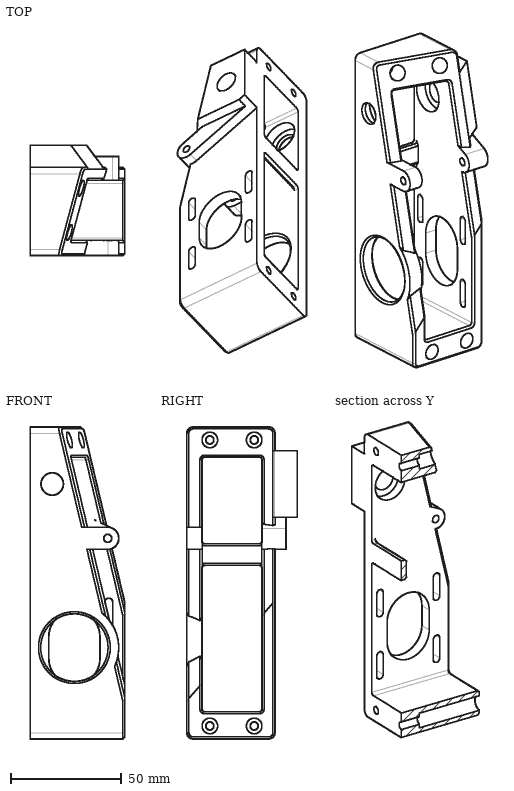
import cadquery as cq
import math

height = 141.3
depth = 40.0
length = 43.0
corner_radius = 3.0
edge_chamfer = 1.0

slope_start = 47.0
slope_rise = math.tan(math.radians(13.3))
slope_skew = math.tan(math.radians(15))

front_wall = 6.9
rear_wall = 6.0
passage_bottom = 12.5
passage_top = 127.6
passage_radius = 1.3
passage_rear = depth - rear_wall
bar_bottom = 78.5
bar_top = 88.5
bar_thickness = 3.0

screw_diameter = 3.5
screw_head_diameter = 7.0
screw_inset_z = 6.0
screw_spacing_y = 20.0
screw_grip = 10.0

motor_x = 20.0
motor_z = 41.4
motor_bore_diameter = 30.5
motor_rim_radius = 20.0
motor_slot_width = 23.0
motor_screw_offset = 15.5
motor_screw_slot_width = 3.5
motor_travel = 10.0

shaft_diameter = 10.0
bearing_diameter = 16.2
bearing_depth = 5.0
shaft_x = 10.0
shaft_z = 115.4
boss_half_height = 15.1
boss_rear = 50.0
boss_front = depth - edge_chamfer
boss_taper = 0.74

ear_x = 35.2
ear_z = 90.8
ear_diameter = 10.0
ear_radius = ear_diameter / 2
ear_hole_diameter = 3.5
rear_ear_end = 44.9
rear_ear_tilt = 25.0

margin = 14.1
overlap = 1.4
steep_normal = 0.8


def box(x0, x1, y0, y1, z0, z1):
    return cq.Workplane("XY").box(x1 - x0, y1 - y0, z1 - z0, centered=False).translate((x0, y0, z0))


def plane_along_y(y):
    """XZ sketch plane at y, with its normal along +Y; local coordinates are (x, -z)."""
    return cq.Workplane(cq.Plane(origin=(0, y, 0), xDir=(1, 0, 0), normal=(0, 1, 0)))


def cylinder_y(x, z, diameter, y0, y1):
    return plane_along_y(y0).center(x, -z).circle(diameter / 2).extrude(y1 - y0)


def cylinder_x(y, z, diameter, x0, x1):
    return cq.Workplane("YZ").workplane(offset=x0).center(y, z).circle(diameter / 2).extrude(x1 - x0)


def slot_y(x, z, width, y0, y1):
    """Vertical slot through Y, long enough for the motor travel."""
    return plane_along_y(y0).center(x, -z).slot2D(width + motor_travel, width, 90).extrude(y1 - y0)


def half_space(x, y, z, skew):
    """Large block behind the sloped plane through (x, y, z) that gains skew in X per unit of Y."""
    face = cq.Plane(origin=(x, y, z), xDir=(skew, 1, 0), normal=(1, -skew, slope_rise))
    return cq.Workplane(face).rect(4 * height, 4 * height).extrude(-2 * height)


def sloping_face_edges(body, y_range, z_range):
    """Edges around the +X and sloped faces, except the line where those two meet."""
    faces = [f for f in body.faces().vals()
             if f.geomType() == "PLANE" and f.normalAt().x > steep_normal]
    found = [e for f in faces for e in f.Edges()]
    return [e for e in found if sum(e.isSame(other) for other in found) == 1
            and y_range[0] <= e.Center().y <= y_range[1]
            and z_range[0] <= e.Center().z <= z_range[1]]


def passage_prism(x0, x1, z0, z1):
    return box(x0, x1, front_wall, passage_rear, z0, z1).edges("|X").fillet(passage_radius)


def make_cross_bar():
    bar = box(0, bar_thickness, front_wall - overlap, passage_rear + overlap,
              bar_bottom - passage_radius - overlap, bar_top + passage_radius + overlap)
    bar = bar.cut(passage_prism(-margin, margin, passage_bottom, bar_bottom))
    bar = bar.cut(passage_prism(-margin, margin, bar_top, passage_top))
    window_edges = cq.selectors.BoxSelector((0, front_wall + overlap, bar_bottom - overlap),
                                            (length, passage_rear - overlap, bar_top + overlap))
    return bar.faces(">X").edges(window_edges).chamfer(edge_chamfer)


def make_housing():
    block = box(0, length, 0, depth, 0, height).edges("|X").fillet(corner_radius)
    block = block.intersect(half_space(slope_start, 0, 0, slope_skew))
    everywhere = (-margin, height + margin)
    block = block.newObject(sloping_face_edges(block, everywhere, everywhere)).chamfer(edge_chamfer)
    block = block.cut(passage_prism(-margin, length + margin, passage_bottom, passage_top))
    rim = edge_chamfer
    opening = sloping_face_edges(block, (front_wall - rim, passage_rear + rim),
                                 (passage_bottom - rim, passage_top + rim))
    block = block.newObject(opening).chamfer(edge_chamfer)
    return block.union(make_cross_bar())


def make_rear_boss():
    block = box(0, length, boss_front, boss_rear, shaft_z - boss_half_height, shaft_z + boss_half_height)
    face_x = slope_start + slope_skew * boss_front
    return block.intersect(half_space(face_x, boss_front, 0, -boss_taper))


def make_motor_rim():
    return cylinder_y(motor_x, motor_z, 2 * motor_rim_radius, 0, front_wall)


def make_ear_arm(y0, y1, reach):
    """Arm of the given reach toward -X, ending in a round eye at the origin of the hinge."""
    arm = box(-reach, 0, y0, y1, -ear_radius, ear_radius)
    return arm.union(cylinder_y(0, 0, ear_diameter, y0, y1))


def make_front_ear():
    return make_ear_arm(0, front_wall, ear_x / 2).translate((ear_x, 0, ear_z))


def make_rear_ear():
    arm = make_ear_arm(passage_rear, rear_ear_end, 2 * ear_x)
    arm = arm.rotate((0, 0, 0), (0, 1, 0), rear_ear_tilt).translate((ear_x, 0, ear_z))
    return arm.intersect(box(0, length, passage_rear, rear_ear_end, 0, height))


def below_rear_ear():
    """Wedge behind the housing and under the rear arm, removed from the boss."""
    wedge = box(-2 * ear_x, 0, depth, boss_rear, -ear_radius - margin, -ear_radius)
    return wedge.rotate((0, 0, 0), (0, 1, 0), rear_ear_tilt).translate((ear_x, 0, ear_z))


def cut_bearing_seats(body):
    body = body.cut(cylinder_y(shaft_x, shaft_z, shaft_diameter, -margin, boss_rear + margin))
    seat_start = front_wall - bearing_depth
    seat_end = passage_rear + bearing_depth
    return body.cut(cylinder_y(shaft_x, shaft_z, bearing_diameter, seat_start, seat_end))


def bore_chamfer(mouth_y, inward):
    """Cone from the widened mouth of the motor bore down to its own diameter."""
    bore_radius = motor_bore_diameter / 2
    mouth = plane_along_y(mouth_y).center(motor_x, -motor_z).circle(bore_radius + edge_chamfer)
    return mouth.workplane(offset=inward).circle(bore_radius).loft()


def cut_motor_opening(body):
    bore = cylinder_y(motor_x, motor_z, motor_bore_diameter, -margin, front_wall)
    bore = bore.union(bore_chamfer(0, edge_chamfer)).union(bore_chamfer(front_wall, -edge_chamfer))
    body = body.cut(bore)
    body = body.cut(slot_y(motor_x, motor_z, motor_slot_width, passage_rear, depth))
    for side_x in (-motor_screw_offset, motor_screw_offset):
        for side_z in (-motor_screw_offset, motor_screw_offset):
            body = body.cut(slot_y(motor_x + side_x, motor_z + side_z, motor_screw_slot_width,
                                   passage_rear, depth))
    return body


def cut_mounting_screws(body):
    middle_y = (front_wall + passage_rear) / 2
    for z in (screw_inset_z, height - screw_inset_z):
        for y in (middle_y - screw_spacing_y / 2, middle_y + screw_spacing_y / 2):
            body = body.cut(cylinder_x(y, z, screw_diameter, -margin, length + margin))
            body = body.cut(cylinder_x(y, z, screw_head_diameter, screw_grip, length + margin))
    return body


housing = make_housing()
housing = housing.union(make_rear_boss().cut(below_rear_ear()))
housing = housing.union(make_motor_rim())
housing = housing.union(make_front_ear()).union(make_rear_ear())
housing = housing.cut(cylinder_y(ear_x, ear_z, ear_hole_diameter, -margin, boss_rear))
housing = cut_bearing_seats(housing)
housing = cut_motor_opening(housing)
result = cut_mounting_screws(housing)